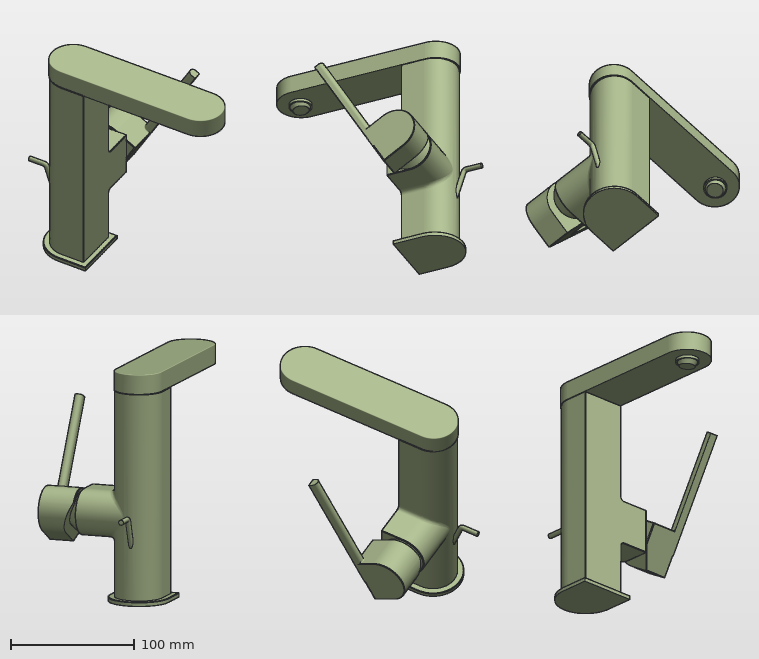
import cadquery as cq
import math

total_height = 190.3
edge_break = 0.5
pick_margin = 0.2

base_radius = 25.1
base_flat_x = 25.7
base_thickness = 3.6
column_radius = 20.0
column_flat_x = 21.0

spout_bottom = 174.3
spout_back_x = -0.8
spout_front_x = 119.5
spout_radius = 20.0

aerator_x = 120.0
aerator_collar_diameter = 18.8
aerator_collar_height = 2.5
aerator_cone_diameter = 17.9
aerator_cone_height = 4.5
aerator_tip_diameter = 13.3
aerator_tilt = 5.0

valve_z = 70.5
stub_radius = 19.0
stub_end_y = 48.3
stub_blend_radius = 3.5

neck_radius = 18.0
neck_tip_radius = 12.4
neck_length = 8.0

handle_angle = 30.0
head_radius = 19.2
head_back_y = 80.5
head_front_y = 50.2
head_relief_y = 59.8
head_relief_start = 1.1
lever_radius = 3.6
lever_thickness = 7.5
lever_root_round = 0.8
lever_end = 104.0

rod_diameter = 4.2
rod_end_x = -41.9
rod_y = -0.2
rod_z = 72.1
rod_corner_x = -26.3
rod_lean = 18.5
rod_bend_radius = 3.0
rod_leg_length = 30.5


def d_section(plane, radius, flat):
    """Closed outline: half circle about the origin, straight sides, flat end at local x = flat."""
    return (
        plane.moveTo(0, radius)
        .threePointArc((-radius, 0), (0, -radius))
        .lineTo(flat, -radius)
        .lineTo(flat, radius)
        .close()
    )


def chamfer_rims(body, face_selectors):
    """Chamfer all edges of each selected face in turn."""
    for selector in face_selectors:
        body = body.faces(selector).edges().chamfer(edge_break)
    return body


def make_base():
    base = d_section(cq.Workplane("XY"), base_radius, base_flat_x).extrude(base_thickness)
    return chamfer_rims(base, (">Z",))


def make_column_with_stub():
    column = d_section(cq.Workplane("XY"), column_radius, column_flat_x).extrude(spout_bottom)
    stub_plane = cq.Workplane("XZ").center(0, valve_z)
    stub = d_section(stub_plane, stub_radius, column_flat_x).extrude(-stub_end_y)
    joined = column.union(stub)
    seam_box = cq.selectors.BoxSelector(
        (-column_radius, pick_margin, valve_z - stub_radius - pick_margin),
        (column_flat_x - pick_margin, column_radius + pick_margin, valve_z + stub_radius + pick_margin),
    )
    joined = joined.edges(seam_box).fillet(stub_blend_radius)
    return chamfer_rims(joined, (">Y", ">X", ">Z"))


def make_spout():
    length = spout_front_x - spout_back_x + 2 * spout_radius
    spout = (
        cq.Workplane("XY", origin=((spout_back_x + spout_front_x) / 2, 0, spout_bottom))
        .slot2D(length, 2 * spout_radius)
        .extrude(total_height - spout_bottom)
    )
    return spout.faces(">Z").edges().fillet(edge_break)


def make_aerator():
    cone_top_z = -aerator_collar_height
    collar = cq.Workplane("XY").circle(aerator_collar_diameter / 2).extrude(cone_top_z)
    cone = (
        cq.Workplane("XY", origin=(0, 0, cone_top_z / 2))
        .transformed(rotate=(0, aerator_tilt, 0))
        .circle(aerator_cone_diameter / 2)
        .workplane(offset=-aerator_cone_height)
        .circle(aerator_tip_diameter / 2)
        .loft()
    )
    return collar.union(cone).translate((aerator_x, 0, spout_bottom))


def make_neck():
    tip_y = stub_end_y + neck_length
    profile = (
        cq.Workplane("XY")
        .moveTo(0, stub_end_y)
        .lineTo(neck_radius, stub_end_y)
        .lineTo(neck_tip_radius, tip_y)
        .lineTo(0, tip_y)
        .close()
    )
    return profile.revolve(360, (0, 0), (0, 1)).translate((0, 0, valve_z))


def make_handle():
    head = d_section(cq.Workplane("XZ", origin=(0, head_front_y, 0)), head_radius, column_flat_x)
    head = head.extrude(head_front_y - head_back_y)
    relief = (
        cq.Workplane("YZ")
        .moveTo(head_front_y, head_relief_start)
        .lineTo(head_relief_y, -head_radius)
        .lineTo(head_front_y, -head_radius)
        .close()
        .extrude(2 * column_flat_x, both=True)
    )
    lever_center = (column_flat_x - lever_thickness + lever_radius, head_back_y - lever_radius, 0)
    lever = d_section(
        cq.Workplane("XY", origin=lever_center), lever_radius, lever_thickness - lever_radius
    ).extrude(lever_end)
    head = chamfer_rims(head.cut(relief), (">X", ">Y", "<Y"))
    handle = head.union(lever)
    root_box = cq.selectors.BoxSelector(
        (
            column_flat_x - lever_thickness - pick_margin,
            head_back_y - 2 * lever_radius - pick_margin,
            head_radius - pick_margin,
        ),
        (column_flat_x - pick_margin, head_back_y - pick_margin, head_radius + pick_margin),
    )
    handle = handle.edges(root_box).fillet(lever_root_round)
    return handle.rotate((0, 0, 0), (0, 1, 0), handle_angle).translate((0, 0, valve_z))


def make_rod():
    lean = math.radians(rod_lean)
    leg_direction = (math.sin(lean), -math.cos(lean))
    bend_angle = math.pi / 2 - lean
    tangent = rod_bend_radius * math.tan(bend_angle / 2)
    bend_start = (rod_corner_x - tangent, rod_z)
    bend_end = (rod_corner_x + tangent * leg_direction[0], rod_z + tangent * leg_direction[1])
    leg_end = (
        rod_corner_x + rod_leg_length * leg_direction[0],
        rod_z + rod_leg_length * leg_direction[1],
    )
    path = (
        cq.Workplane("XZ", origin=(0, rod_y, 0))
        .moveTo(rod_end_x, rod_z)
        .lineTo(*bend_start)
        .tangentArcPoint(bend_end, relative=False)
        .lineTo(*leg_end)
    )
    section = cq.Workplane("YZ", origin=(rod_end_x, rod_y, rod_z)).circle(rod_diameter / 2)
    return section.sweep(path)


result = make_column_with_stub()
for part in (make_base(), make_spout(), make_aerator(), make_neck(), make_handle(), make_rod()):
    result = result.union(part)